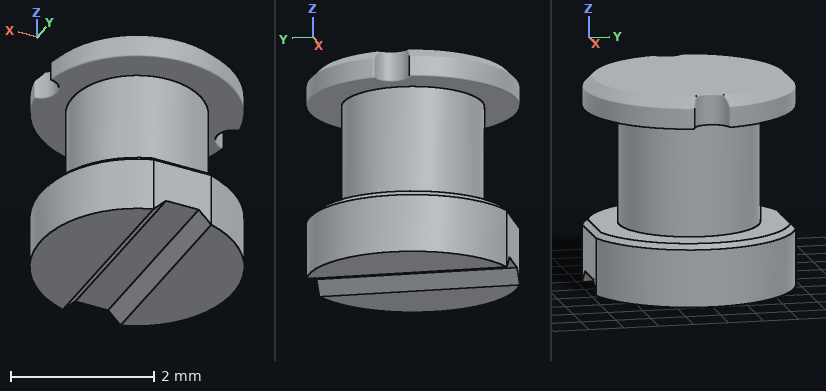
import cadquery as cq

outer_diameter = 3.0
total_height = 3.0
column_diameter = 1.998

base_height = 0.9
base_chamfer = 0.075
flat_width = 0.9

slot_depth = 0.195
slot_bottom_width = flat_width
slot_top_width = slot_bottom_width - 2 * slot_depth

flange_thickness = 0.45
flange_chamfer = 0.15
notch_radius = 0.25
edge_radius = 0.025

outer_radius = outer_diameter / 2
flange_bottom = total_height - flange_thickness
flat_spacing = 2 * (outer_radius**2 - (flat_width / 2) ** 2) ** 0.5


def make_base():
    """Round foot with two flats and a tapered slot across its underside."""
    disc = (
        cq.Workplane("XY")
        .circle(outer_radius)
        .extrude(base_height)
        .faces(">Z")
        .chamfer(base_chamfer)
    )
    flats = (
        cq.Workplane("XY")
        .rect(outer_diameter, flat_spacing)
        .extrude(base_height)
        .edges(">Z and |X")
        .chamfer(base_chamfer)
    )
    foot = disc.intersect(flats)
    slot = (
        cq.Workplane("XZ")
        .moveTo(-slot_bottom_width / 2, 0)
        .lineTo(slot_bottom_width / 2, 0)
        .lineTo(slot_top_width / 2, slot_depth)
        .lineTo(-slot_top_width / 2, slot_depth)
        .close()
        .extrude(outer_radius, both=True)
    )
    return foot.cut(slot)


def make_flange():
    """Chamfered top disc with a half-round notch at each end of the X axis."""
    disc = (
        cq.Workplane("XY", origin=(0, 0, flange_bottom))
        .circle(outer_radius)
        .extrude(flange_thickness)
        .faces(">Z")
        .chamfer(flange_chamfer)
    )
    notch = (
        cq.Workplane("XY", origin=(outer_radius, 0, flange_bottom))
        .circle(notch_radius)
        .extrude(flange_thickness)
    )
    opposite_notch = notch.rotate((0, 0, 0), (0, 0, 1), 180)
    return disc.cut(notch).cut(opposite_notch).edges().fillet(edge_radius)


def make_column():
    """Round winding core, overlapping into the base and the flange."""
    return (
        cq.Workplane("XY", origin=(0, 0, base_height / 2))
        .circle(column_diameter / 2)
        .extrude(flange_bottom + flange_thickness / 2 - base_height / 2)
    )


result = make_base().union(make_column()).union(make_flange())